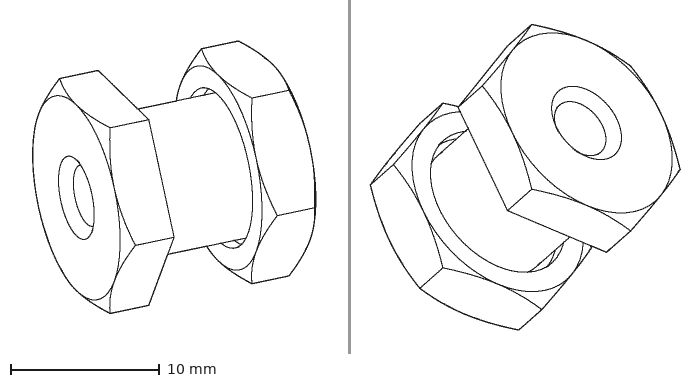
import cadquery as cq
import math

ACROSS_CORNERS = 16.17
ACROSS_FLATS = ACROSS_CORNERS * math.cos(math.radians(30))
CORNER_CHAMFER_ANGLE = 30.0

TOTAL_LENGTH = 14.5
HEAD_THICKNESS = 3.5
NUT_THICKNESS = 4.0
NUT_START = TOTAL_LENGTH - NUT_THICKNESS

SHANK_DIAMETER = 10.0
BORE_DIAMETER = 4.2
BORE_MOUTH_DIAMETER = 5.7
BORE_COUNTERSINK_DEPTH = (BORE_MOUTH_DIAMETER - BORE_DIAMETER) / 2
NUT_RECESS_DIAMETER = 11.0
NUT_RECESS_DEPTH = 1.0
NUT_CONE_ANGLE = 30.0
NUT_CONE_DEPTH = (NUT_RECESS_DIAMETER - SHANK_DIAMETER) / 2 * math.tan(math.radians(NUT_CONE_ANGLE))


def cylinder(diameter, start, length):
    """Cylinder along +Y, beginning at Y = start."""
    return cq.Workplane("XZ", origin=(0, start, 0)).circle(diameter / 2).extrude(-length)


def countersink(mouth_diameter, tip_diameter, face, depth):
    """Cone narrowing along +Y, with its mouth at Y = face."""
    profile = [
        (0, face),
        (mouth_diameter / 2, face),
        (tip_diameter / 2, face + depth),
        (0, face + depth),
    ]
    return cq.Workplane("XY").polyline(profile).close().revolve(360, (0, 0, 0), (0, 1, 0))


def hexagon(start, thickness, chamfer_far_face):
    """Hexagonal prism along Y with its corners coned off at one or both faces."""
    end = start + thickness
    flat_radius = ACROSS_FLATS / 2
    corner_radius = ACROSS_CORNERS / 2
    chamfer_height = (corner_radius - flat_radius) * math.tan(math.radians(CORNER_CHAMFER_ANGLE))
    profile = [(0, start), (flat_radius, start), (corner_radius, start + chamfer_height)]
    if chamfer_far_face:
        profile += [(corner_radius, end - chamfer_height), (flat_radius, end)]
    else:
        profile += [(corner_radius, end)]
    profile += [(0, end)]
    envelope = cq.Workplane("XY").polyline(profile).close().revolve(360, (0, 0, 0), (0, 1, 0))
    prism = cq.Workplane("XZ", origin=(0, start, 0)).polygon(6, ACROSS_CORNERS).extrude(-thickness)
    return prism.intersect(envelope)


def make_bolt():
    """Hollow bolt: chamfered head, plain shank and a bore countersunk at the head."""
    head = hexagon(0, HEAD_THICKNESS, chamfer_far_face=False)
    shank = cylinder(SHANK_DIAMETER, HEAD_THICKNESS, TOTAL_LENGTH - HEAD_THICKNESS)
    bore = cylinder(BORE_DIAMETER, 0, TOTAL_LENGTH)
    bore_mouth = countersink(BORE_MOUTH_DIAMETER, BORE_DIAMETER, 0, BORE_COUNTERSINK_DEPTH)
    return head.union(shank).cut(bore).cut(bore_mouth)


def make_nut():
    """Nut chamfered on both faces, its hole fitting the shank with a cone-bottomed recess facing the head."""
    body = hexagon(NUT_START, NUT_THICKNESS, chamfer_far_face=True)
    hole = cylinder(SHANK_DIAMETER, NUT_START, NUT_THICKNESS)
    recess = cylinder(NUT_RECESS_DIAMETER, NUT_START, NUT_RECESS_DEPTH)
    recess_floor = NUT_START + NUT_RECESS_DEPTH
    cone = countersink(NUT_RECESS_DIAMETER, SHANK_DIAMETER, recess_floor, NUT_CONE_DEPTH)
    return body.cut(hole).cut(recess).cut(cone)


bolt = make_bolt()
nut = make_nut()

result = cq.Compound.makeCompound([bolt.val(), nut.val()])